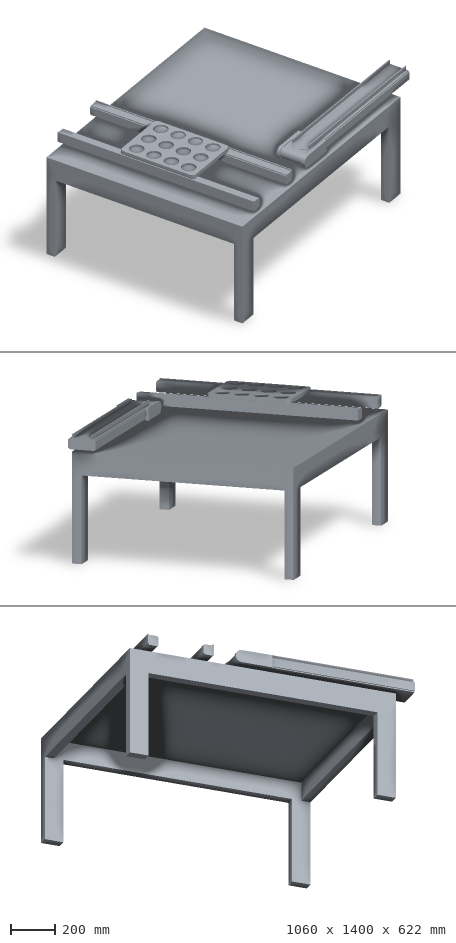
import cadquery as cq
table_width = 1060.0
table_length = 1300.0
table_top_thickness = 20.0
table_height = 520.0
leg_width = 45.0
leg_depth = 91.0
apron_height = 90.0
leg_setback = 0.7
apron_setback = 1.0
center_stud_diameter = 10.0
center_stud_height = 1.0

deck_height = 602.0
carried_height = 20.0

rail_width = 50.0
rail_height = 50.0
rail_step = 5.0
rail_lip_height = 5.0
rail_spacing = 270.0

tray_width = 400.0
tray_length = 300.0
tray_center_y = -400.0
tray_corner_radius = 20.0
pocket_diameter = 70.0
pocket_depth = 10.0
pocket_columns = 4
pocket_rows = 3
pocket_pitch_x = 94.0
pocket_pitch_y = 100.0

overall_length = 1400.0
conveyor_center_x = 450.0
conveyor_back_y = overall_length - table_length / 2
belt_width = 120.0
belt_thickness = 50.0
frame_width = 130.0
frame_step = 5.0
roller_center_y = -101.0

end_plate_thickness = 15.0
end_plate_height = 60.0
end_plate_back_y = 49.0

guide_spacing = 84.0
guide_thickness = 5.0
guide_front_y = -48.0
funnel_reach = 31.0
funnel_height = 3.0

table_top_bottom = table_height - table_top_thickness
belt_center_z = deck_height - belt_thickness / 2
rail_bottom = deck_height - rail_height
sides = (-1, 1)


def block(x_range, y_range, z_range):
    """Box between the given limits along each axis."""
    size = [high - low for low, high in (x_range, y_range, z_range)]
    corner = (x_range[0], y_range[0], z_range[0])
    return cq.Workplane("XY").box(*size, centered=False).translate(corner)


def make_table():
    """Top on four legs and aprons that are set back slightly under its two ends."""
    half_width = table_width / 2
    half_length = table_length / 2
    inner_half_width = half_width - leg_width
    leg_end = half_length - leg_setback
    leg_inside = half_length - leg_depth
    apron_end = half_length - apron_setback
    apron_levels = (table_top_bottom - apron_height, table_top_bottom)

    table = block((-half_width, half_width), (-half_length, half_length), (table_top_bottom, table_height))
    for side in sides:
        leg_x = sorted((side * inner_half_width, side * half_width))
        table = table.union(block(leg_x, (-leg_end, leg_end), apron_levels))
        for end in sides:
            leg_y = sorted((end * leg_inside, end * leg_end))
            table = table.union(block(leg_x, leg_y, (0, table_top_bottom)))
    for end in sides:
        apron_y = sorted((end * (apron_end - leg_width), end * apron_end))
        table = table.union(block((-inner_half_width, inner_half_width), apron_y, apron_levels))
    center_stud = (
        cq.Workplane("XY", origin=(0, 0, table_height))
        .circle(center_stud_diameter / 2)
        .extrude(center_stud_height)
    )
    return table.union(center_stud)


def make_rail(side):
    """Bar along X, stepped in at top and bottom; side is +1 when the lip is on +Y."""
    shoulder_bottom = rail_bottom + rail_step
    shoulder_top = deck_height - rail_step
    half_length = table_width / 2
    half_core = rail_width / 2 - rail_step

    def bar(y_range, z_range):
        return block((-half_length, half_length), y_range, z_range)

    core_y = (-half_core, half_core)
    lip_y = sorted((side * half_core, side * rail_width / 2))
    rail = bar((-rail_width / 2, rail_width / 2), (shoulder_bottom, shoulder_top))
    for part in (
        bar(core_y, (rail_bottom, shoulder_bottom)),
        bar(core_y, (shoulder_top, deck_height)),
        bar(lip_y, (shoulder_top, deck_height + rail_lip_height)),
    ):
        rail = rail.union(part, clean=False)
    return rail.translate((0, tray_center_y + side * rail_spacing / 2, 0))


def make_tray():
    """Plate with rounded corners and a grid of round blind pockets."""
    return (
        cq.Workplane("XY", origin=(0, tray_center_y, deck_height))
        .rect(tray_width, tray_length)
        .extrude(carried_height)
        .edges("|Z")
        .fillet(tray_corner_radius)
        .faces(">Z")
        .workplane(origin=(0, tray_center_y, 0))
        .rarray(pocket_pitch_x, pocket_pitch_y, pocket_columns, pocket_rows)
        .hole(pocket_diameter, pocket_depth)
    )


def rounded_bar(width, height, back_y):
    """Bar centred on X = 0 whose front end is rounded about the roller axis."""
    radius = height / 2
    return (
        cq.Workplane("YZ", origin=(0, 0, belt_center_z))
        .moveTo(back_y, radius)
        .lineTo(roller_center_y, radius)
        .threePointArc((roller_center_y - radius, 0), (roller_center_y, -radius))
        .lineTo(back_y, -radius)
        .close()
        .extrude(width / 2, both=True)
    )


def make_conveyor():
    """Belt with a wider, lower frame behind the end plates."""
    belt = rounded_bar(belt_width, belt_thickness, conveyor_back_y)
    frame_half_height = belt_thickness / 2 - frame_step
    frame = block(
        (-frame_width / 2, frame_width / 2),
        (end_plate_back_y, conveyor_back_y),
        (belt_center_z - frame_half_height, belt_center_z + frame_half_height),
    )
    return belt.union(frame).translate((conveyor_center_x, 0, 0))


def make_end_plate(side):
    """Rounded plate against one side of the belt."""
    plate = rounded_bar(end_plate_thickness, end_plate_height, end_plate_back_y)
    offset = side * (belt_width + end_plate_thickness) / 2
    return plate.translate((conveyor_center_x + offset, 0, 0))


def make_guide(side):
    """Upright strip on the belt with a low funnel foot that turns in at 45 degrees."""
    inner = guide_spacing / 2
    outer = inner + guide_thickness
    guide_levels = (deck_height, deck_height + carried_height)
    strip = block((inner, outer), (guide_front_y, conveyor_back_y), guide_levels)
    foot = (
        cq.Workplane("XY", origin=(0, 0, deck_height))
        .polyline(
            [
                (inner, guide_front_y),
                (outer, guide_front_y),
                (outer - funnel_reach, guide_front_y - funnel_reach),
                (inner - funnel_reach, guide_front_y - funnel_reach),
            ]
        )
        .close()
        .extrude(funnel_height)
    )
    guide = strip.union(foot)
    if side < 0:
        guide = guide.mirror("YZ")
    return guide.translate((conveyor_center_x, 0, 0))


table = make_table()
rails = [make_rail(side) for side in sides]
tray = make_tray()
conveyor = make_conveyor()
end_plates = [make_end_plate(side) for side in sides]
guides = [make_guide(side) for side in sides]

bodies = [table, *rails, tray, conveyor, *end_plates, *guides]
result = cq.Compound.makeCompound([body.val() for body in bodies])